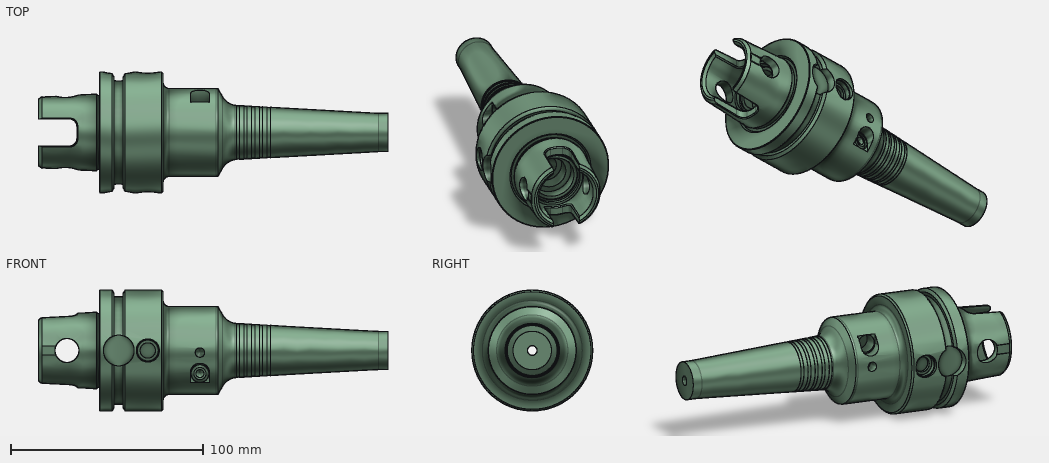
import cadquery as cq
import math

TOTAL_LENGTH = 182.0

SHANK_END_RADIUS = 18.5
SHANK_ROOT_RADIUS = 20.0
SHANK_NOSE_LENGTH = 1.8
SHANK_NOSE_DROP = 1.3
UNDERCUT_START = 30.2
UNDERCUT_RADIUS = 19.3
RECESS_RADIUS = 21.8
RECESS_DEPTH = 1.0

FLANGE_RADIUS = 31.5
FLANGE_START = 31.8
FLANGE_END = 65.0
FLANGE_FRONT_CHAMFER = 0.4
FLANGE_REAR_CHAMFER = 1.0
GROOVE_START = 38.4
GROOVE_END = 45.1
GROOVE_FLANK = 1.1
GROOVE_FLANK_RADIUS = 29.7
GROOVE_FLOOR_RADIUS = 28.0

NECK_RADIUS = 23.0
NECK_FILLET = 3.1
NECK_END = 93.5
NECK_CHAMFER_LENGTH = 1.1
NECK_CHAMFER_DROP = 0.2
SHOULDER_CONE_END = (96.0, 18.5)
NOSE_START = (102.3, 14.2)
NOSE_TIP_START = 176.9
NOSE_TIP_RADIUS = 10.0

RING_COUNT = 5
RING_PITCH = 4.0
RING_START = 103.0
RING_WIDTH = 1.6
RING_DEPTH = 0.2

BORE_MOUTH_RADIUS = 16.2
BORE_STEPS = [(14.7, 22.5), (13.5, 24.5), (12.5, 25.5), (11.0, 31.5), (8.2, 40.0)]
COOLANT_CONE_RADIUS = 5.5
COOLANT_RADIUS = 2.45
COOLANT_CONE_LENGTH = COOLANT_CONE_RADIUS - COOLANT_RADIUS

SLOT_WIDTH = 14.0
SLOT_DEPTH = 20.0
SLOT_CORNER_RADIUS = 3.8
SLOT_CHAMFER = 0.5

CROSS_HOLE_X = 15.0
CROSS_HOLE_DIAMETER = 12.4
FLAT_WIDTH = 5.0
FLAT_DISTANCE = 18.2

PAD_X = 41.9
PAD_DIAMETER = 16.0
PAD_DISTANCE = 26.8
SOCKET_X = 57.0
SOCKET_STEPS = [(12.0, 1.8), (11.0, 4.5), (8.0, 6.4)]

BALANCE_X = 84.0
SMALL_HOLE_DIAMETER = 5.0
SMALL_HOLE_Z = -1.1
SMALL_HOLE_DEPTH = 7.3
DRILL_POINT_ANGLE = 118.0
NOTCH_WIDTH = 10.0
NOTCH_CENTRE_Z = -11.6
NOTCH_FLOOR_Y = -15.8
SCREW_DIAMETER = 9.3
SCREW_Z = -12.0
SCREW_LENGTH = 8.0
SCREW_CHAMFER = 1.5
SCREW_SOCKET_DIAMETER = 4.2
SCREW_SOCKET_DEPTH = 2.4


def rod(diameter, start_y, end_y, x, z):
    """Cylinder parallel to Y between two Y positions."""
    length = end_y - start_y
    direction = cq.Vector(0, math.copysign(1, length), 0)
    solid = cq.Solid.makeCylinder(diameter / 2, abs(length), cq.Vector(x, start_y, z), direction)
    return cq.Workplane(solid)


def cone(radius, length, start_y, x, z):
    """Pointed cone parallel to Y, with its base at start_y and its tip towards +Y."""
    solid = cq.Solid.makeCone(radius, 0, length, cq.Vector(x, start_y, z), cq.Vector(0, 1, 0))
    return cq.Workplane(solid)


def half_turn(shape):
    """Copy of a shape turned by half a turn about the X axis."""
    return shape.rotate((0, 0, 0), (1, 0, 0), 180)


def revolve_about_x(profile):
    return profile.close().revolve(360, (0, 0, 0), (1, 0, 0))


def outer_body():
    flank_start = GROOVE_START + GROOVE_FLANK
    flank_end = GROOVE_END - GROOVE_FLANK
    neck_chamfer_start = NECK_END - NECK_CHAMFER_LENGTH
    profile = (
        cq.Workplane("XY")
        .lineTo(0, SHANK_END_RADIUS)
        .lineTo(UNDERCUT_START, SHANK_ROOT_RADIUS)
        .lineTo(UNDERCUT_START + SHANK_ROOT_RADIUS - UNDERCUT_RADIUS, UNDERCUT_RADIUS)
        .lineTo(FLANGE_START + RECESS_DEPTH, UNDERCUT_RADIUS)
        .lineTo(FLANGE_START + RECESS_DEPTH, RECESS_RADIUS - RECESS_DEPTH)
        .lineTo(FLANGE_START, RECESS_RADIUS)
        .lineTo(FLANGE_START, FLANGE_RADIUS - FLANGE_FRONT_CHAMFER)
        .lineTo(FLANGE_START + FLANGE_FRONT_CHAMFER, FLANGE_RADIUS)
        .lineTo(GROOVE_START, FLANGE_RADIUS)
        .lineTo(flank_start, GROOVE_FLANK_RADIUS)
        .lineTo(flank_start, GROOVE_FLOOR_RADIUS)
        .lineTo(flank_end, GROOVE_FLOOR_RADIUS)
        .lineTo(flank_end, GROOVE_FLANK_RADIUS)
        .lineTo(GROOVE_END, FLANGE_RADIUS)
        .lineTo(FLANGE_END - FLANGE_REAR_CHAMFER, FLANGE_RADIUS)
        .lineTo(FLANGE_END, FLANGE_RADIUS - FLANGE_REAR_CHAMFER)
        .lineTo(FLANGE_END, NECK_RADIUS + NECK_FILLET)
        .radiusArc((FLANGE_END + NECK_FILLET, NECK_RADIUS), -NECK_FILLET)
        .lineTo(neck_chamfer_start, NECK_RADIUS)
        .lineTo(NECK_END, NECK_RADIUS - NECK_CHAMFER_DROP)
        .lineTo(*SHOULDER_CONE_END)
        .tangentArcPoint(NOSE_START, relative=False)
        .lineTo(NOSE_TIP_START, NOSE_TIP_RADIUS)
        .lineTo(TOTAL_LENGTH, NOSE_TIP_RADIUS)
        .lineTo(TOTAL_LENGTH, 0)
    )
    return revolve_about_x(profile)


def nose_radius(x):
    """Radius of the slim nose taper at a position along X."""
    start_x, start_radius = NOSE_START
    share = (x - start_x) / (NOSE_TIP_START - start_x)
    return start_radius + share * (NOSE_TIP_RADIUS - start_radius)


def ring_groove(start):
    end = start + RING_WIDTH
    profile = (
        cq.Workplane("XY")
        .moveTo(start, nose_radius(start) - RING_DEPTH)
        .lineTo(end, nose_radius(end) - RING_DEPTH)
        .lineTo(end, NECK_RADIUS)
        .lineTo(start, NECK_RADIUS)
    )
    return revolve_about_x(profile)


def inner_bore():
    profile = cq.Workplane("XY")
    floor_x = 0
    for radius, end in BORE_STEPS:
        profile = profile.lineTo(floor_x, radius).lineTo(end, radius)
        floor_x = end
    profile = (
        profile
        .lineTo(floor_x, COOLANT_CONE_RADIUS)
        .lineTo(floor_x + COOLANT_CONE_LENGTH, COOLANT_RADIUS)
        .lineTo(TOTAL_LENGTH, COOLANT_RADIUS)
        .lineTo(TOTAL_LENGTH, 0)
    )
    return revolve_about_x(profile)


def shank_radius(x):
    """Outer radius of the shank taper at a position along X."""
    return SHANK_END_RADIUS + x / UNDERCUT_START * (SHANK_ROOT_RADIUS - SHANK_END_RADIUS)


def nose_trim():
    """Ring that leaves a conical lead-in on the open end of the shank."""
    profile = (
        cq.Workplane("XY")
        .moveTo(0, SHANK_END_RADIUS - SHANK_NOSE_DROP)
        .lineTo(SHANK_NOSE_LENGTH, shank_radius(SHANK_NOSE_LENGTH))
        .lineTo(SHANK_NOSE_LENGTH, FLANGE_RADIUS)
        .lineTo(0, FLANGE_RADIUS)
    )
    return revolve_about_x(profile)


def mouth_cone():
    """Cone that chamfers the mouth of the bore."""
    profile = cq.Workplane("XY").lineTo(0, BORE_MOUTH_RADIUS).lineTo(BORE_MOUTH_RADIUS, 0)
    return revolve_about_x(profile)


def drive_slot():
    height = 2 * FLANGE_RADIUS
    return (
        cq.Workplane("XY")
        .box(2 * SLOT_DEPTH, SLOT_WIDTH, height)
        .edges("|Z")
        .fillet(SLOT_CORNER_RADIUS)
    )


def cut_drive_slot(shank):
    """Cut the drive slot and chamfer its outer and inner edges."""
    slotted = shank.cut(drive_slot())
    reach = SLOT_DEPTH + SLOT_CHAMFER
    corner = SLOT_WIDTH / 2 + SLOT_CHAMFER
    rims = []
    for edge in slotted.edges().vals():
        box = edge.BoundingBox()
        lies_on_slot = box.xmax < reach and max(abs(box.ymin), abs(box.ymax)) < corner
        runs_along_z = abs(edge.tangentAt(0).z) > 0.99
        if lies_on_slot and not runs_along_z:
            rims.append(edge)
    return slotted.newObject(rims).chamfer(SLOT_CHAMFER)


def shank_flat():
    length = CROSS_HOLE_X - SHANK_NOSE_LENGTH
    return (
        cq.Workplane("XY")
        .box(length, FLANGE_RADIUS, FLAT_WIDTH, centered=(False, False, True))
        .translate((SHANK_NOSE_LENGTH, -FLAT_DISTANCE - FLANGE_RADIUS, 0))
    )


def stepped_socket():
    start = -FLANGE_RADIUS
    socket = None
    for diameter, depth in SOCKET_STEPS:
        step = rod(diameter, start, start + depth, SOCKET_X, 0)
        socket = step if socket is None else socket.union(step)
    return socket


def small_hole():
    """Blind hole in the neck, ending in a drill point."""
    radius = SMALL_HOLE_DIAMETER / 2
    end = SMALL_HOLE_DEPTH - NECK_RADIUS
    point_length = radius / math.tan(math.radians(DRILL_POINT_ANGLE / 2))
    point = cone(radius, point_length, end, BALANCE_X, SMALL_HOLE_Z)
    return rod(SMALL_HOLE_DIAMETER, -FLANGE_RADIUS, end, BALANCE_X, SMALL_HOLE_Z).union(point)


def balance_notch():
    """Round-ended notch open towards -Z, with the screw hole in its floor."""
    depth = FLANGE_RADIUS + NOTCH_FLOOR_Y
    round_end = rod(NOTCH_WIDTH, -FLANGE_RADIUS, NOTCH_FLOOR_Y, BALANCE_X, NOTCH_CENTRE_Z)
    open_part = (
        cq.Workplane("XY")
        .box(NOTCH_WIDTH, depth, FLANGE_RADIUS, centered=(True, False, False))
        .translate((BALANCE_X, -FLANGE_RADIUS, NOTCH_CENTRE_Z - FLANGE_RADIUS))
    )
    hole_end = NOTCH_FLOOR_Y + SCREW_LENGTH
    screw_hole = rod(SCREW_DIAMETER, -FLANGE_RADIUS, hole_end, BALANCE_X, SCREW_Z)
    return round_end.union(open_part).union(screw_hole)


def make_holder():
    holder = outer_body()
    for index in range(RING_COUNT):
        holder = holder.cut(ring_groove(RING_START + index * RING_PITCH))
    holder = holder.cut(inner_bore())
    holder = cut_drive_slot(holder)
    holder = holder.cut(nose_trim()).cut(mouth_cone())
    holder = holder.cut(rod(CROSS_HOLE_DIAMETER, -FLANGE_RADIUS, FLANGE_RADIUS, CROSS_HOLE_X, 0))

    pad = rod(PAD_DIAMETER, -FLANGE_RADIUS, -PAD_DISTANCE, PAD_X, 0)
    for side_cut in (shank_flat(), pad, stepped_socket(), balance_notch(), small_hole()):
        holder = holder.cut(side_cut).cut(half_turn(side_cut))
    return holder


def make_screw():
    """Balancing screw lying in the hole of the notch on the -Y side."""
    end = NOTCH_FLOOR_Y + SCREW_LENGTH
    body = rod(SCREW_DIAMETER, NOTCH_FLOOR_Y, end, BALANCE_X, SCREW_Z)
    body = body.faces("<Y").chamfer(SCREW_CHAMFER)
    socket = cone(SCREW_SOCKET_DIAMETER / 2, SCREW_SOCKET_DEPTH, NOTCH_FLOOR_Y, BALANCE_X, SCREW_Z)
    return body.cut(socket)


holder = make_holder()
screw = make_screw()
result = cq.Compound.makeCompound([holder.val(), screw.val()])